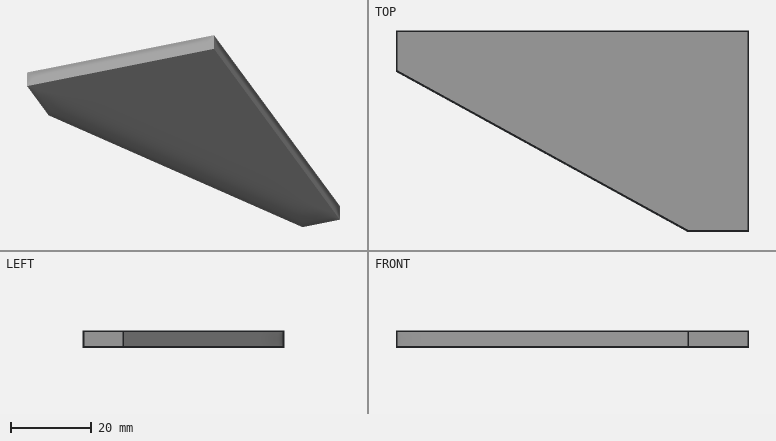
import cadquery as cq

length = 87.78
width = 49.97
thickness = 4.0

left_edge = 10.0
front_edge = 15.0

right = length / 2
left = -right
back = width / 2
front = -back

outline = [
    (left, back),
    (left, back - left_edge),
    (right - front_edge, front),
    (right, front),
    (right, back),
]

result = (
    cq.Workplane("XY")
    .polyline(outline)
    .close()
    .extrude(thickness)
)